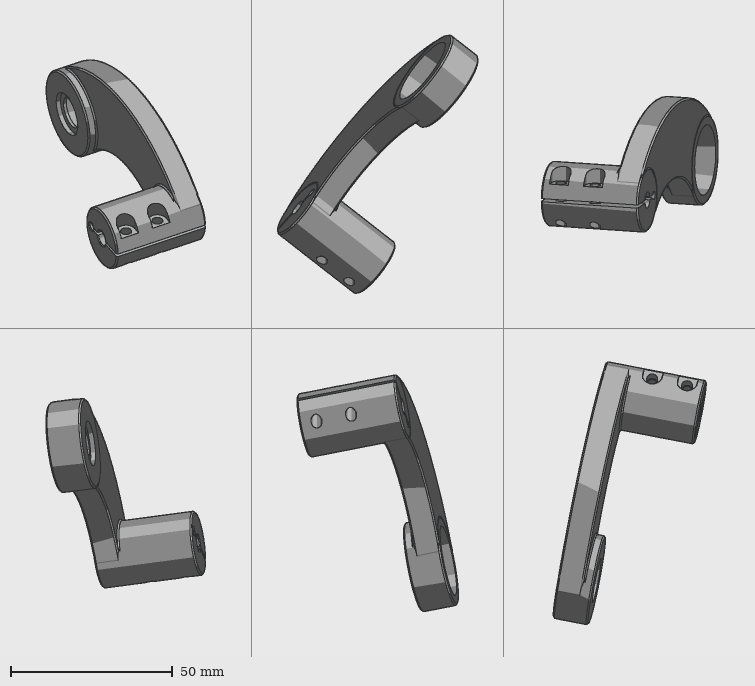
import cadquery as cq
import math

hub_spacing = 60.0
pivot_radius = 14.0
clamp_radius = 10.0
arm_thickness = 8.0
pivot_length = 11.0
clamp_length = 31.4
edge_chamfer = 0.5
outer_arc_radius = 55.3
inner_arc_radius = 30.0

pivot_bore_diameter = 10.0
pivot_recess_diameter = 13.85
pivot_recess_depth = 1.5
bearing_seat_diameter = 21.8
bearing_seat_depth = 8.5

shaft_diameter = 5.0
shaft_chamfer = 0.3
relief_diameter = 2.5
relief_chamfer = 0.3
relief_offset = 6.7
slit_width = 1.0

screw_diameter = 3.4
screw_head_diameter = 6.05
screw_offset = 6.05
screw_depths = (15.0, 26.0)
screw_seat_height = 4.95


def arc_center(pivot_distance, clamp_distance):
    """Point below the hubs at the given distances from the two hub axes."""
    x = (pivot_distance**2 - clamp_distance**2 + hub_spacing**2) / (2 * hub_spacing)
    return x, -math.sqrt(pivot_distance**2 - x**2)


def point_toward(start, target, distance):
    """Point at a distance from start along the line to target."""
    span = math.dist(start, target)
    return tuple(a + (b - a) * distance / span for a, b in zip(start, target))


def cylinder(x, radius, length, start=0.0):
    """Cylinder along -Y, starting at a depth in front of the back face."""
    return cq.Workplane("XZ", origin=(x, -start, 0)).circle(radius).extrude(length)


def arm_outline():
    """Outline of two hub circles joined by tangent outer and inner arcs."""
    pivot = (0.0, 0.0)
    clamp = (hub_spacing, 0.0)
    outer = arc_center(outer_arc_radius - pivot_radius, outer_arc_radius - clamp_radius)
    inner = arc_center(inner_arc_radius + pivot_radius, inner_arc_radius + clamp_radius)
    return (
        cq.Workplane("XZ")
        .moveTo(*point_toward(outer, pivot, outer_arc_radius))
        .threePointArc(
            (outer[0], outer[1] + outer_arc_radius),
            point_toward(outer, clamp, outer_arc_radius),
        )
        .threePointArc(
            (hub_spacing + clamp_radius, 0),
            point_toward(clamp, inner, clamp_radius),
        )
        .threePointArc(
            (inner[0], inner[1] + inner_arc_radius),
            point_toward(pivot, inner, pivot_radius),
        )
        .threePointArc(
            (-pivot_radius, 0),
            point_toward(outer, pivot, outer_arc_radius),
        )
        .close()
    )


def hub(x, radius, length):
    """Hub with both end rims chamfered."""
    return cylinder(x, radius, length).faces("<Y or >Y").chamfer(edge_chamfer)


def root_bevel(x, radius):
    """Bevel between a hub and the arm's front face, kept inside the arm's edge chamfer."""
    cone = (
        cq.Workplane("XZ", origin=(x, -arm_thickness, 0))
        .circle(radius + edge_chamfer)
        .workplane(offset=edge_chamfer)
        .circle(radius)
        .loft()
    )
    flat_area = arm_outline().offset2D(-edge_chamfer).extrude(arm_thickness + edge_chamfer)
    return cone.intersect(flat_area)


def through_hole(x, diameter, length, chamfer):
    """Hole cutter along Y that flares at its front end."""
    radius = diameter / 2
    flare = cq.Workplane("XZ", origin=(x, -length, 0)).circle(radius + chamfer)
    flare = flare.workplane(offset=-chamfer).circle(radius).loft()
    return cylinder(x, radius, length).union(flare)


def screw_cutter(depth):
    """Screw hole along Z with a round-ended head seat open to the top and outer side."""
    plane = cq.Workplane("XY", origin=(hub_spacing + screw_offset, -depth, 0))
    hole = plane.circle(screw_diameter / 2).extrude(clamp_radius, both=True)
    seat = plane.workplane(offset=screw_seat_height)
    head = seat.circle(screw_head_diameter / 2).extrude(clamp_radius)
    side_opening = seat.rect(2 * clamp_radius, screw_head_diameter).extrude(clamp_radius)
    return hole.union(head).union(side_opening.translate((clamp_radius, 0, 0)))


hubs = (
    (0.0, pivot_radius, pivot_length),
    (hub_spacing, clamp_radius, clamp_length),
)
result = arm_outline().extrude(arm_thickness).faces("<Y or >Y").chamfer(edge_chamfer)
for hub_x, hub_radius, hub_length in hubs:
    result = result.cut(cylinder(hub_x, hub_radius, arm_thickness))
for hub_x, hub_radius, hub_length in hubs:
    result = result.union(hub(hub_x, hub_radius, hub_length))
for hub_x, hub_radius, hub_length in hubs:
    result = result.union(root_bevel(hub_x, hub_radius))

result = result.cut(cylinder(0, pivot_bore_diameter / 2, pivot_length))
recess_start = pivot_length - pivot_recess_depth
result = result.cut(cylinder(0, pivot_recess_diameter / 2, pivot_recess_depth, recess_start))
result = result.cut(cylinder(0, bearing_seat_diameter / 2, bearing_seat_depth))

relief_x = hub_spacing - relief_offset
result = result.cut(through_hole(hub_spacing, shaft_diameter, clamp_length, shaft_chamfer))
result = result.cut(through_hole(relief_x, relief_diameter, clamp_length, relief_chamfer))
slit = cq.Workplane("XY").box(
    relief_offset + clamp_radius, clamp_length, slit_width, centered=(False, False, True)
)
result = result.cut(slit.translate((relief_x, -clamp_length, 0)))

for screw_depth in screw_depths:
    result = result.cut(screw_cutter(screw_depth))